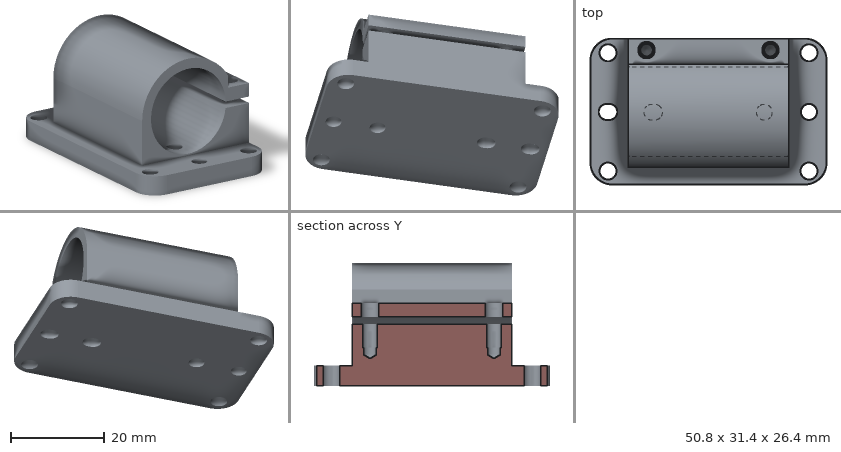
import cadquery as cq
import math

plate_length = 50.8
plate_width = 31.4
plate_thickness = 4.35
corner_radius = 4.7

housing_length = 34.45
total_height = 26.4
outer_radius = 11.95
bore_diameter = 19.3
axis_height = total_height - outer_radius
rear_face = plate_width / 2

ear_inner_face = 10.15
ear_top = 17.9
slit_bottom = 13.35
slit_top = 14.85

hole_pattern_y = -0.075
hole_x = 21.6
corner_hole_y = 12.7
corner_hole_diameter = 3.6
locating_diameter = 3.4
locating_slot_length = 3.95

floor_hole_x = 11.95

screw_x = 13.3
screw_y = 13.2
clearance_diameter = 3.6
thread_diameter = 3.05
thread_depth = 5.1
drill_diameter = 2.65
drill_depth = 6.6
drill_point_angle = 118.0


def make_plate():
    return (
        cq.Workplane("XY")
        .box(plate_length, plate_width, plate_thickness, centered=(True, True, False))
        .edges("|Z")
        .fillet(corner_radius)
    )


def make_housing():
    """Round-topped clamp profile in the YZ plane, extruded along X."""
    crest_rise = math.sqrt(outer_radius**2 - ear_inner_face**2)
    return (
        cq.Workplane("YZ", origin=(-housing_length / 2, 0, 0))
        .moveTo(-outer_radius, plate_thickness)
        .lineTo(rear_face, plate_thickness)
        .lineTo(rear_face, ear_top)
        .lineTo(ear_inner_face, ear_top)
        .lineTo(ear_inner_face, axis_height + crest_rise)
        .threePointArc((0, total_height), (-outer_radius, axis_height))
        .close()
        .extrude(housing_length)
    )


def make_bore_and_slit():
    bore = (
        cq.Workplane("YZ", origin=(-housing_length / 2, 0, axis_height))
        .circle(bore_diameter / 2)
        .extrude(housing_length)
    )
    slit = cq.Workplane("XY", origin=(0, 0, slit_bottom)).box(
        housing_length, rear_face, slit_top - slit_bottom, centered=(True, False, False)
    )
    return bore.union(slit)


def make_locating_pair(x, depth):
    """A slot on the -X side and a round hole on the +X side, cut up from the underside."""
    slot = (
        cq.Workplane("XY")
        .center(-x, hole_pattern_y)
        .slot2D(locating_slot_length, locating_diameter)
        .extrude(depth)
    )
    round_hole = (
        cq.Workplane("XY")
        .center(x, hole_pattern_y)
        .circle(locating_diameter / 2)
        .extrude(depth)
    )
    return slot.union(round_hole)


def make_plate_holes():
    corner_holes = (
        cq.Workplane("XY")
        .center(0, hole_pattern_y)
        .rect(2 * hole_x, 2 * corner_hole_y, forConstruction=True)
        .vertices()
        .circle(corner_hole_diameter / 2)
        .extrude(plate_thickness)
    )
    outer_pair = make_locating_pair(hole_x, plate_thickness)
    floor_pair = make_locating_pair(floor_hole_x, axis_height)
    return corner_holes.union(outer_pair).union(floor_pair)


def make_screw_hole(x):
    """Revolved cutter for one clamp screw, from the ear top down to the drill point."""
    thread_bottom = slit_bottom - thread_depth
    drill_bottom = slit_bottom - drill_depth
    point_length = drill_diameter / 2 / math.tan(math.radians(drill_point_angle / 2))
    return (
        cq.Workplane("XZ", origin=(x, screw_y, 0))
        .moveTo(0, ear_top)
        .lineTo(clearance_diameter / 2, ear_top)
        .lineTo(clearance_diameter / 2, slit_bottom)
        .lineTo(thread_diameter / 2, slit_bottom)
        .lineTo(thread_diameter / 2, thread_bottom)
        .lineTo(drill_diameter / 2, thread_bottom)
        .lineTo(drill_diameter / 2, drill_bottom)
        .lineTo(0, drill_bottom - point_length)
        .close()
        .revolve(360, (0, 0), (0, 1))
    )


result = make_plate().union(make_housing()).cut(make_bore_and_slit()).cut(make_plate_holes())
for side in (-1, 1):
    result = result.cut(make_screw_hole(side * screw_x))